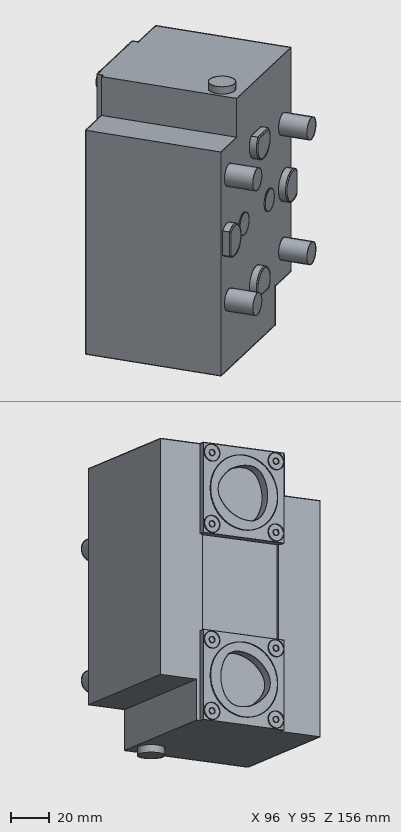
import cadquery as cq
import math

overall_height = 156.0
button_height = 4.0
body_depth = 76.0
body_width = 95.0
body_height = overall_height - 2 * button_height
step_width = 21.4
step_height = 21.8

left_face = -body_depth / 2
right_face = body_depth / 2

plate_side = 48.0
plate_thickness = 3.5
plate_center_z = (body_height - plate_side) / 2
raised_height = 0.6
boss_diameter = 40.0
screw_spacing = 38.0
screw_diameter = 9.0
socket_diameter = 3.3
socket_depth = 0.6

lobe_spacing = 10.1
lobe_radius = 9.7
lobe_recess_depth = 6.0

channel_width = 45.4
channel_depth = 1.4

button_diameter = 14.2
button_inset = 12.0
button_offset_y = 17.0

pin_diameter = 12.2
pin_length = 15.9
pin_offset_y = 36.7
pin_offset_z = 35.1

pad_diameter = 18.0
pad_flat_length = 13.7
pad_height = 4.5
pad_reach = 45.2
pad_chamfer = 0.6

disc_diameter = 12.3
disc_height = 0.6
disc_offset_y = 17.2


def rod(diameter, length, x, y, z):
    """Cylinder along X whose lower-X end is centered at (x, y, z)."""
    return cq.Workplane("YZ", origin=(x, y, z)).circle(diameter / 2).extrude(length)


def make_body():
    block = cq.Workplane("XY").box(body_depth, body_width, body_height)
    corner = cq.Workplane("XY").box(body_depth, step_width, step_height)
    y = (body_width - step_width) / 2
    z = (body_height - step_height) / 2
    block = block.cut(corner.translate((0, -y, z)))
    block = block.cut(corner.translate((0, y, -z)))
    channel_height = body_height - 2 * plate_side
    channel = cq.Workplane("XY").box(channel_depth, channel_width, channel_height)
    return block.cut(channel.translate((left_face + channel_depth / 2, 0, 0)))


def lobe_recess(x, z, tip_direction):
    """Three-lobed prism from x inward, with one lobe toward +Y or -Y."""
    reach = lobe_spacing / math.sqrt(3)
    flat_distance = lobe_spacing - reach
    corners = []
    side_middles = []
    for index in range(3):
        angle = math.radians(120 * index)
        corners.append((tip_direction * reach * math.cos(angle), reach * math.sin(angle)))
        middle = angle + math.radians(60)
        side_middles.append(
            (tip_direction * flat_distance * math.cos(middle), flat_distance * math.sin(middle))
        )
    outline = cq.Workplane("YZ", origin=(x, 0, z)).moveTo(*corners[0])
    for index in range(3):
        outline = outline.threePointArc(side_middles[index], corners[(index + 1) % 3])
    return outline.close().offset2D(lobe_radius, "arc").extrude(lobe_recess_depth)


def add_plate(part, z, tip_direction):
    plate_face = left_face - plate_thickness
    outer_face = plate_face - raised_height
    plate = cq.Workplane("XY").box(plate_thickness, plate_side, plate_side)
    part = part.union(plate.translate((left_face - plate_thickness / 2, 0, z)))
    part = part.union(rod(boss_diameter, raised_height, outer_face, 0, z))
    for side_y in (-1, 1):
        for side_z in (-1, 1):
            screw_y = side_y * screw_spacing / 2
            screw_z = z + side_z * screw_spacing / 2
            part = part.union(rod(screw_diameter, raised_height, outer_face, screw_y, screw_z))
            part = part.cut(rod(socket_diameter, socket_depth, outer_face, screw_y, screw_z))
    return part.cut(lobe_recess(outer_face, z, tip_direction))


def add_buttons(part):
    button = cq.Workplane("XY").circle(button_diameter / 2).extrude(button_height)
    x = right_face - button_inset
    part = part.union(button.translate((x, -button_offset_y, body_height / 2)))
    return part.union(button.translate((x, button_offset_y, -overall_height / 2)))


def add_pins(part):
    for side_y in (-1, 1):
        for side_z in (-1, 1):
            pin = rod(pin_diameter, pin_length, right_face, side_y * pin_offset_y, side_z * pin_offset_z)
            part = part.union(pin)
    return part


def add_pads(part):
    radius = pad_diameter / 2
    flat_end = pad_flat_length / 2
    flat_distance = math.sqrt(radius**2 - flat_end**2)
    pad = (
        cq.Workplane("YZ", origin=(right_face, pad_reach - flat_distance, 0))
        .moveTo(flat_distance, -flat_end)
        .lineTo(flat_distance, flat_end)
        .threePointArc((-radius, 0), (flat_distance, -flat_end))
        .close()
        .extrude(pad_height)
        .faces(">X")
        .chamfer(pad_chamfer)
    )
    for quarter in range(4):
        part = part.union(pad.rotate((0, 0, 0), (1, 0, 0), 90 * quarter))
    return part


def add_discs(part):
    for side in (-1, 1):
        part = part.union(rod(disc_diameter, disc_height, right_face, side * disc_offset_y, 0))
    return part


result = make_body()
result = add_plate(result, plate_center_z, 1)
result = add_plate(result, -plate_center_z, -1)
result = add_buttons(result)
result = add_pins(result)
result = add_pads(result)
result = add_discs(result)